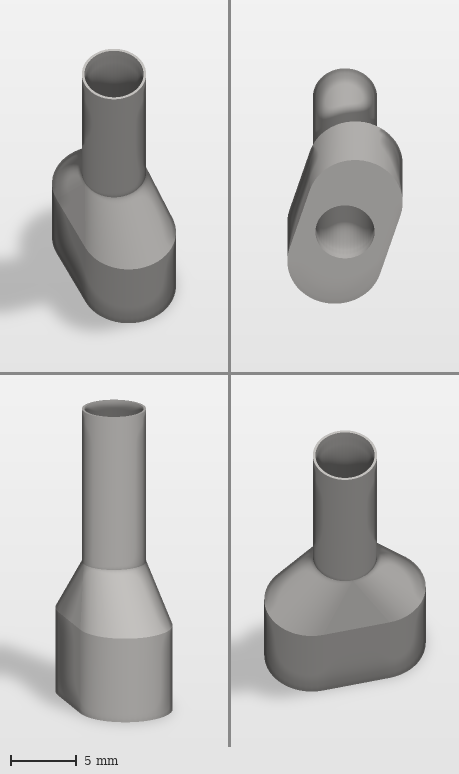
import cadquery as cq

total_height = 23.0
collar_length = 12.4
collar_width = 7.2
skirt_height = 6.6
collar_height = 10.97
tube_diameter = 4.88
bore_diameter = 4.48

tube_radius = tube_diameter / 2
end_radius = collar_width / 2
end_offset = collar_length / 2 - end_radius
tube_height = total_height - collar_height


def end_arc(side, center_x, radius, z):
    """Semicircle bulging toward +X (side = 1) or -X (side = -1)."""
    return cq.Edge.makeThreePointArc(
        cq.Vector(side * center_x, -radius, z),
        cq.Vector(side * (center_x + radius), 0, z),
        cq.Vector(side * center_x, radius, z),
    )


def make_shoulder():
    """Taper from the oblong skirt to the round tube: two conical ends and two flat triangles."""
    faces = []
    lower_edges = []
    upper_edges = []
    for side in (-1, 1):
        lower_arc = end_arc(side, end_offset, end_radius, skirt_height)
        upper_arc = end_arc(side, 0, tube_radius, collar_height)
        lower_edges.append(lower_arc)
        upper_edges.append(upper_arc)
        faces.append(cq.Face.makeRuledSurface(lower_arc, upper_arc))

    for side in (-1, 1):
        left = cq.Vector(-end_offset, side * end_radius, skirt_height)
        right = cq.Vector(end_offset, side * end_radius, skirt_height)
        apex = cq.Vector(0, side * tube_radius, collar_height)
        lower_edges.append(cq.Edge.makeLine(left, right))
        triangle = cq.Wire.makePolygon([left, right, apex], close=True)
        faces.append(cq.Face.makeFromWires(triangle))

    for edges in (lower_edges, upper_edges):
        faces.append(cq.Face.makeFromWires(cq.Wire.combine(edges)[0]))
    return cq.Workplane(obj=cq.Solid.makeSolid(cq.Shell.makeShell(faces)).fix())


def make_collar():
    """Oblong skirt and tapered shoulder, bored through in line with the tube."""
    skirt = cq.Workplane("XY").slot2D(collar_length, collar_width).extrude(skirt_height)
    bore = cq.Workplane("XY").circle(bore_diameter / 2).extrude(collar_height)
    return skirt.union(make_shoulder()).cut(bore)


def make_tube():
    """Thin round tube resting on the top rim of the collar."""
    return (
        cq.Workplane("XY", origin=(0, 0, collar_height))
        .circle(tube_radius)
        .circle(bore_diameter / 2)
        .extrude(tube_height)
    )


collar = make_collar()
tube = make_tube()

result = cq.Compound.makeCompound([collar.solids().val(), tube.val()])